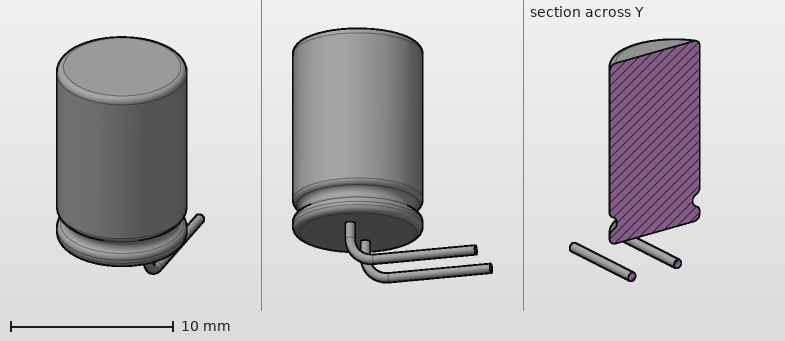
import cadquery as cq
import math


can_diameter = 8.0
can_height = 12.0
rim_radius = 0.4

groove_height = 1.38
groove_radius = 0.46
groove_lip_radius = 0.4

lead_diameter = 0.6
lead_pitch = 3.5
lead_drop = 1.0
lead_bend_radius = 1.5
lead_reach = 8.0

can_radius = can_diameter / 2
diagonal = math.sqrt(0.5)


def make_can():
    """Revolve the half outline of the can about Z."""
    rim_center = can_radius - rim_radius
    rim_mid = rim_center + rim_radius * diagonal
    rim_inset = rim_radius * (1 - diagonal)

    center_distance = groove_radius + groove_lip_radius
    lip_offset = math.sqrt(center_distance**2 - groove_lip_radius**2)
    lip_center = can_radius - groove_lip_radius
    lip_angle = math.asin(lip_offset / center_distance)
    tangent_radius = lip_center + groove_lip_radius * math.cos(lip_angle)
    tangent_offset = lip_offset - groove_lip_radius * math.sin(lip_angle)
    lip_mid_radius = lip_center + groove_lip_radius * math.cos(lip_angle / 2)
    lip_mid_offset = lip_offset - groove_lip_radius * math.sin(lip_angle / 2)

    outline = (
        cq.Workplane("XZ")
        .lineTo(rim_center, 0)
        .threePointArc((rim_mid, rim_inset), (can_radius, rim_radius))
        .lineTo(can_radius, groove_height - lip_offset)
        .threePointArc(
            (lip_mid_radius, groove_height - lip_mid_offset),
            (tangent_radius, groove_height - tangent_offset),
        )
        .threePointArc(
            (can_radius - groove_radius, groove_height),
            (tangent_radius, groove_height + tangent_offset),
        )
        .threePointArc(
            (lip_mid_radius, groove_height + lip_mid_offset),
            (can_radius, groove_height + lip_offset),
        )
        .lineTo(can_radius, can_height - rim_radius)
        .threePointArc((rim_mid, can_height - rim_inset), (rim_center, can_height))
        .lineTo(0, can_height)
        .close()
    )
    return outline.revolve(360, (0, 0, 0), (0, 1, 0))


def make_lead(x):
    """Sweep a round wire down from the can base, then round a bend to +Y."""
    bend_mid_y = lead_bend_radius * (1 - diagonal)
    bend_mid_z = -lead_drop - lead_bend_radius * diagonal
    run_z = -lead_drop - lead_bend_radius
    path = (
        cq.Workplane("YZ", origin=(x, 0, 0))
        .lineTo(0, -lead_drop)
        .threePointArc((bend_mid_y, bend_mid_z), (lead_bend_radius, run_z))
        .lineTo(lead_reach, run_z)
    )
    section = cq.Workplane("XY", origin=(x, 0, 0)).circle(lead_diameter / 2)
    return section.sweep(path)


result = make_can()
for side in (-1, 1):
    result = result.union(make_lead(side * lead_pitch / 2))